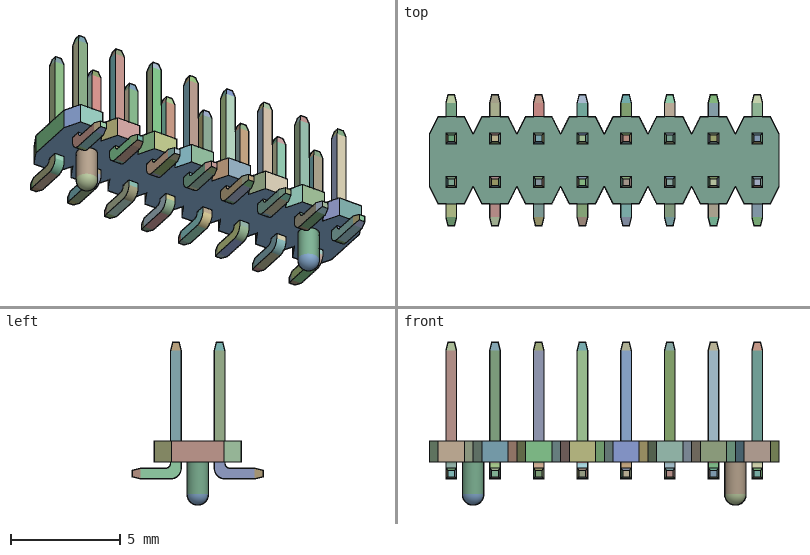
import cadquery as cq

columns = 8
pitch = 2.0

body_length = columns * pitch
body_width = 2 * pitch
body_height = 0.98
notch_half_width = 0.4
notch_depth = 0.8

pin_size = 0.5
pin_rise = 4.51
foot_drop = 0.77
foot_span = 6.0
inner_bend_radius = 0.22
outer_bend_radius = 0.5
tip_length = 0.38
tip_size = 0.3

peg_diameter = 1.0
peg_length = 1.97
peg_x = body_length / 2 - pitch


def make_body():
    """Plate with a V notch between columns and half a notch cut off each corner."""
    body = cq.Workplane("XY").box(body_length, body_width, body_height, centered=(True, True, False))
    for boundary in range(columns + 1):
        x = boundary * pitch - body_length / 2
        for side in (-1, 1):
            edge_y = side * body_width / 2
            notch = (
                cq.Workplane("XY")
                .moveTo(x - notch_half_width, edge_y)
                .lineTo(x, edge_y - side * notch_depth)
                .lineTo(x + notch_half_width, edge_y)
                .close()
                .extrude(body_height)
            )
            body = body.cut(notch)
    return body


def make_tip(base_plane):
    """Square taper that starts on base_plane and runs along its normal."""
    return (
        cq.Workplane(base_plane)
        .rect(pin_size, pin_size)
        .workplane(offset=tip_length)
        .rect(tip_size, tip_size)
        .loft()
    )


def make_pin():
    """Pin at X = 0 in the +Y row, with its foot pointing toward +Y."""
    half_pin = pin_size / 2
    row_y = pitch / 2
    inner_y = row_y - half_pin
    outer_y = row_y + half_pin
    shank_top = body_height + pin_rise - tip_length
    foot_end = foot_span / 2 - tip_length
    foot_top = pin_size - foot_drop

    shank_and_foot = (
        cq.Workplane("YZ", origin=(-half_pin, 0, 0))
        .moveTo(inner_y, shank_top)
        .lineTo(inner_y, outer_bend_radius - foot_drop)
        .radiusArc((inner_y + outer_bend_radius, -foot_drop), -outer_bend_radius)
        .lineTo(foot_end, -foot_drop)
        .lineTo(foot_end, foot_top)
        .lineTo(outer_y + inner_bend_radius, foot_top)
        .radiusArc((outer_y, foot_top + inner_bend_radius), inner_bend_radius)
        .lineTo(outer_y, shank_top)
        .close()
        .extrude(pin_size)
    )

    foot_z = foot_top - half_pin
    top_tip = make_tip(cq.Plane(origin=(0, row_y, shank_top), xDir=(1, 0, 0), normal=(0, 0, 1)))
    foot_tip = make_tip(cq.Plane(origin=(0, foot_end, foot_z), xDir=(1, 0, 0), normal=(0, 1, 0)))
    return shank_and_foot.union(top_tip).union(foot_tip)


def make_peg():
    """Peg below the body at X = 0, ending in a hemisphere."""
    radius = peg_diameter / 2
    straight_length = peg_length - radius
    nose = cq.Workplane("XY", origin=(0, 0, -straight_length)).sphere(radius)
    return cq.Workplane("XY").circle(radius).extrude(-straight_length).union(nose)


result = make_body()

row_pin = make_pin()
opposite_pin = row_pin.mirror("XZ")
for column in range(columns):
    column_x = (column + 0.5) * pitch - body_length / 2
    result = result.union(row_pin.translate((column_x, 0, 0)))
    result = result.union(opposite_pin.translate((column_x, 0, 0)))

for side in (-1, 1):
    result = result.union(make_peg().translate((side * peg_x, 0, 0)))